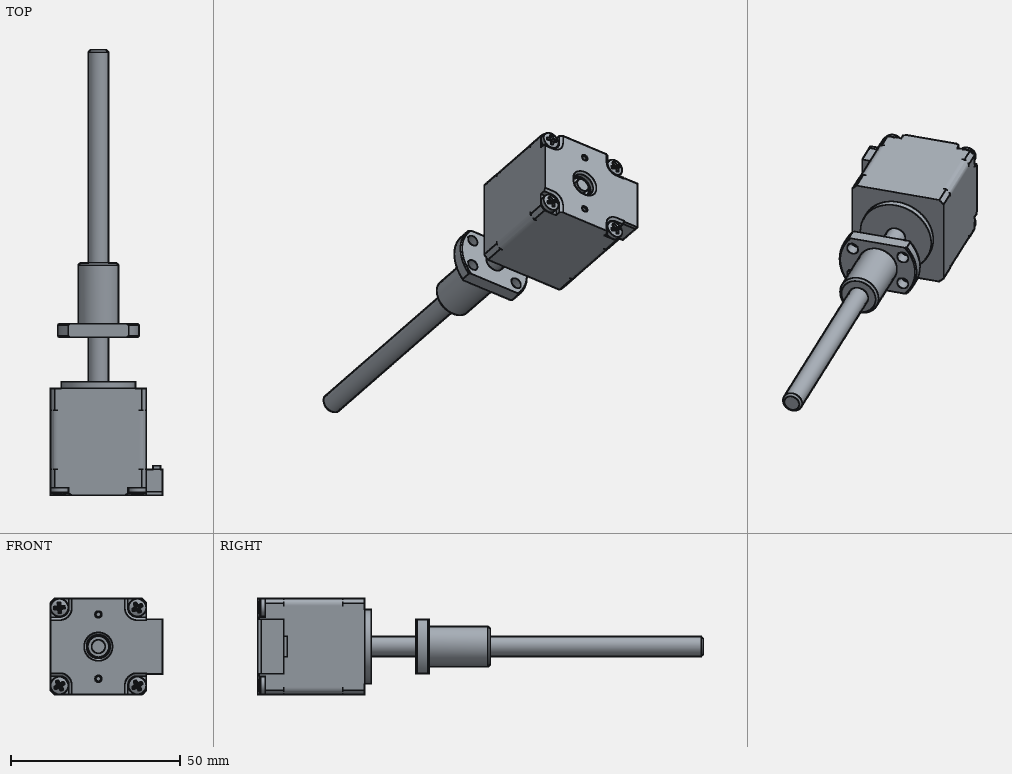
import cadquery as cq
import math


motor_width = 28.4
half_width = motor_width / 2
corner_diameter = 38.3
motor_length = 31.6
rear_y = -motor_length
front_cover_length = 6.4
rear_cover_length = 7.7
stator_length = motor_length - front_cover_length - rear_cover_length
stator_corner_radius = 2.1
pilot_diameter = 22.0
pilot_height = 2.0

rear_hole_diameter = 7.0
rear_hole_depth = 2.0
rear_hole_chamfer = 0.7
rear_step_diameter = 6.2
rear_step_depth = 0.5
tapped_hole_diameter = 1.5
tapped_hole_chamfer = 0.25
tapped_hole_depth = 3.0
tapped_hole_offset = 9.5

screw_offset = 11.5
pocket_depth = 2.3
pocket_radius = 2.8
pocket_chamfer_width = 0.9
pocket_chamfer_depth = 0.6
head_diameter = 5.2
head_rim_height = 1.4
head_height = 2.0
cross_length = 2.8
cross_width = 0.4
cross_depth = 1.2
cross_flare = 14.0
cross_angles = {(-1, 1): 5, (1, 1): 30, (-1, -1): 30, (1, -1): 30}

connector_reach = 4.8
connector_rear_height = 16.2
connector_front_height = 16.0
lip_thickness = 1.1
latch_start = 1.9
latch_width = 2.3
latch_height = 6.0
latch_length = 1.1

shaft_diameter = 6.0
shaft_tip_y = 100.0
shaft_chamfer = 0.7
journal_diameter = 4.0
journal_setback = 1.0

flange_front_y = 15.1
flange_thickness = 4.0
flange_diameter = 24.0
flange_height = 16.0
flange_chamfer = 0.4
nut_diameter = 12.0
nut_length = 22.0
nut_chamfer = 0.7
nut_hole_diameter = 3.4
nut_hole_circle = 18.0
nut_hole_angle = 30.0


def section(y):
    """Work plane across the screw axis: local x is X, local y is Z, extrusions run toward -Y."""
    return cq.Workplane(cq.Plane(origin=(0, y, 0), xDir=(1, 0, 0), normal=(0, -1, 0)))


def disc(diameter, front_y, length):
    """Round bar on the screw axis, running from front_y toward -Y."""
    return section(front_y).circle(diameter / 2).extrude(length)


def motor_block(front_y, length):
    """Square length of the motor with its corners trimmed to the turned diameter."""
    square = section(front_y).rect(motor_width, motor_width).extrude(length)
    return square.intersect(disc(corner_diameter, front_y, length))


def stator_block(front_y, length):
    """Square stator with rounded corners, also trimmed to the turned diameter."""
    square = section(front_y).rect(motor_width, motor_width).extrude(length)
    rounded = square.edges("|Y").fillet(stator_corner_radius)
    return rounded.intersect(disc(corner_diameter, front_y, length))


def pocket_outline(y, radius):
    """Outline in the (+X, +Z) corner: open outward, rounded about the screw toward the axis."""
    near = screw_offset - radius
    far = half_width + 1
    arc_middle = screw_offset - radius * math.cos(math.radians(45))
    return (
        section(y)
        .moveTo(near, far)
        .lineTo(near, screw_offset)
        .threePointArc((arc_middle, arc_middle), (screw_offset, near))
        .lineTo(far, near)
        .lineTo(far, far)
        .close()
    )


def corner_pocket():
    """Screw pocket of the (+X, +Z) corner with a chamfered rim."""
    rim_taper = math.degrees(math.atan(pocket_chamfer_width / pocket_chamfer_depth))
    well = pocket_outline(rear_y + pocket_depth, pocket_radius).extrude(pocket_depth)
    rim = pocket_outline(rear_y + pocket_chamfer_depth, pocket_radius).extrude(
        pocket_chamfer_depth, taper=-rim_taper
    )
    return well.union(rim)


def connector_half_height(y):
    """Half height of the drafted connector profile at a place along Y."""
    share = (y - rear_y) / rear_cover_length
    return (connector_rear_height + share * (connector_front_height - connector_rear_height)) / 2


def connector_slice(start_y, end_y):
    """Part of the drafted connector profile, overhanging the +X side of the motor."""
    start_z = connector_half_height(start_y)
    end_z = connector_half_height(end_y)
    profile = [(start_y, -start_z), (end_y, -end_z), (end_y, end_z), (start_y, start_z)]
    return cq.Workplane("YZ", origin=(half_width, 0, 0)).polyline(profile).close().extrude(connector_reach)


def chamfered_hole(diameter, depth, chamfer, center_z):
    """Blind hole in the rear face with a 45 degree chamfer at its mouth."""
    bore = section(rear_y + depth).center(0, center_z).circle(diameter / 2).extrude(depth)
    mouth = (
        section(rear_y + chamfer).center(0, center_z).circle(diameter / 2).extrude(chamfer, taper=-45)
    )
    return bore.union(mouth)


def make_motor():
    rear_cover_y = rear_y + rear_cover_length
    rear_cover = motor_block(rear_cover_y, rear_cover_length)
    upper_pockets = [corner_pocket(), corner_pocket().mirror("YZ")]
    for pocket in upper_pockets:
        rear_cover = rear_cover.cut(pocket).cut(pocket.mirror("XY"))
    rear_cover = rear_cover.union(connector_slice(rear_y, rear_y + lip_thickness))

    motor = (
        motor_block(0, front_cover_length)
        .union(disc(pilot_diameter, pilot_height, pilot_height))
        .union(stator_block(-front_cover_length, stator_length), clean=False)
        .union(rear_cover, clean=False)
    )

    for center_z in (tapped_hole_offset, -tapped_hole_offset):
        tapped_hole = chamfered_hole(tapped_hole_diameter, tapped_hole_depth, tapped_hole_chamfer, center_z)
        motor = motor.cut(tapped_hole, clean=False)
    rear_hole = chamfered_hole(rear_hole_diameter, rear_hole_depth, rear_hole_chamfer, 0)
    rear_step = disc(rear_step_diameter, rear_y + rear_hole_depth + rear_step_depth, rear_step_depth)
    for void in (rear_hole, rear_step, make_shaft()):
        motor = motor.cut(void, clean=False)
    return motor


def make_connector():
    front_y = rear_y + rear_cover_length
    housing = connector_slice(rear_y + lip_thickness, front_y)
    latch = (
        section(front_y + latch_length)
        .center(half_width + latch_start + latch_width / 2, 0)
        .rect(latch_width, latch_height)
        .extrude(latch_length)
    )
    return housing.union(latch)


def make_cover_screw(side_x, side_z):
    """Domed head with a flared cross recess, seated on the floor of a corner pocket."""
    head_radius = head_diameter / 2
    dome_height = head_height - head_rim_height
    dome_radius = (head_radius**2 + dome_height**2) / (2 * dome_height)
    dome_middle = math.sqrt(dome_radius**2 - (head_radius / 2) ** 2) - dome_radius + head_height
    seat = section(rear_y + pocket_depth).center(side_x * screw_offset, side_z * screw_offset)
    head = (
        cq.Workplane(cq.Plane(origin=seat.plane.origin, xDir=(1, 0, 0), normal=(0, 0, -1)))
        .lineTo(head_radius, 0)
        .lineTo(head_radius, head_rim_height)
        .threePointArc((head_radius / 2, dome_middle), (0, head_height))
        .close()
        .revolve()
    )
    recess_floor = seat.workplane(offset=head_height - cross_depth)
    for quarter_turn in (0, 90):
        slot = (
            recess_floor
            .transformed(rotate=(0, 0, cross_angles[side_x, side_z] + quarter_turn))
            .rect(cross_length, cross_width)
            .extrude(cross_depth, taper=-cross_flare)
        )
        head = head.cut(slot)
    return head


def make_shaft():
    """Screw shaft with a thinner rear journal that stands up inside the rear hole."""
    journal_front_y = rear_y + rear_cover_length
    rod = disc(shaft_diameter, shaft_tip_y, shaft_tip_y - journal_front_y)
    rod = rod.faces(">Y").chamfer(shaft_chamfer)
    journal_length = rear_cover_length - journal_setback
    return rod.union(disc(journal_diameter, journal_front_y, journal_length))


def make_nut():
    flange_back_y = flange_front_y + flange_thickness
    flange = disc(flange_diameter, flange_back_y, flange_thickness).edges().chamfer(flange_chamfer)
    flats = section(flange_back_y).rect(flange_diameter, flange_height).extrude(flange_thickness)
    flange = flange.intersect(flats)

    barrel_length = nut_length - flange_thickness
    barrel = disc(nut_diameter, flange_front_y + nut_length, barrel_length)
    barrel = barrel.faces(">Y").chamfer(nut_chamfer)

    hole_angles = [nut_hole_angle, 180 - nut_hole_angle, 180 + nut_hole_angle, -nut_hole_angle]
    hole_places = [
        (
            nut_hole_circle / 2 * math.cos(math.radians(angle)),
            nut_hole_circle / 2 * math.sin(math.radians(angle)),
        )
        for angle in hole_angles
    ]
    holes = (
        section(flange_back_y)
        .pushPoints(hole_places)
        .circle(nut_hole_diameter / 2)
        .extrude(flange_thickness)
    )
    bore = disc(shaft_diameter, flange_front_y + nut_length, nut_length)
    return flange.union(barrel).cut(holes).cut(bore)


motor = make_motor()
connector = make_connector()
shaft = make_shaft()
nut = make_nut()
cover_screws = [make_cover_screw(side_x, side_z) for side_x, side_z in cross_angles]

result = cq.Compound.makeCompound(
    [
        motor.val(),
        connector.val(),
        shaft.val(),
        nut.val(),
        *[screw.val() for screw in cover_screws],
    ]
)